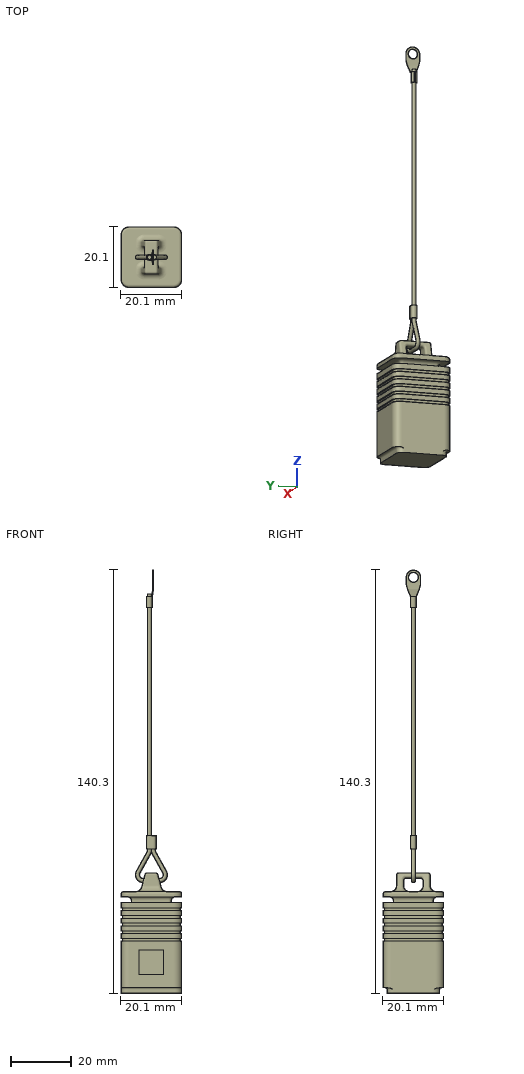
import cadquery as cq
import math

body_size = 20.1
body_corner_radius = 2.65
body_bottom_z = 1.9
body_top_z = 30.15

skirt_depth = 17.4
skirt_corner_radius = 2.15
skirt_root_fillet = 0.7

groove_count = 5
groove_pitch = 2.54
groove_width = 0.9
groove_depth = 0.45
lowest_groove_z = 17.75

label_size = 8.1
label_depth = 0.2
label_center_z = 10.35

neck_size = 13.3
neck_corner_radius = 0.9
neck_fillet = 1.3

flange_bottom_z = 32.0
flange_top_z = 33.78
flange_edge_fillet = 0.9

handle_length = 11.2
handle_top_z = 39.95
handle_top_half_width = 2.0
handle_base_half_width = 3.65
window_width = 6.4
window_top_z = 38.15
window_corner_radius = 0.8
handle_edge_fillet = 0.75
handle_foot_fillet = 1.9

rope_diameter = 1.4
rope_radius = rope_diameter / 2
strand_x = 0.65
rope_top_z = 132.4
sleeve_bottom_z = 47.95
sleeve_top_z = 52.3
crimp_wall = 0.3
crimp_diameter = rope_diameter + 2 * crimp_wall

loop_bottom_z = 37.4
loop_bottom_half = 2.7
loop_bend_radius = 1.9
loop_spread_angle = math.radians(29)
loop_throat_radius = 2.4

lug_top_z = 140.31
lug_head_radius = 2.4
lug_hole_diameter = 3.2
lug_thickness = crimp_wall
lug_plate_x = 0.4
lug_shoulder_z = 135.5
lug_bend_z = 133.9
lug_bend_half_width = 1.95
barrel_top_z = 131.6
barrel_bottom_z = 127.9
barrel_seam_width = 0.4


def square_block(size_x, size_y, corner_radius, bottom_z, top_z):
    """Upright rounded-corner block centred on the Z axis."""
    block = cq.Workplane("XY", origin=(0, 0, bottom_z)).rect(size_x, size_y)
    return block.extrude(top_z - bottom_z).edges("|Z").fillet(corner_radius)


def edges_at_height(height, size_x, size_y):
    """Selector for the edges at one height inside a centred size_x by size_y area."""
    margin = 0.1
    half_x = size_x / 2 + margin
    half_y = size_y / 2 + margin
    return cq.selectors.BoxSelector(
        (-half_x, -half_y, height - margin),
        (half_x, half_y, height + margin),
    )


def make_body():
    slab_size = 2 * body_size
    slab = square_block(slab_size, slab_size, body_corner_radius, body_bottom_z, body_top_z)
    skirt = square_block(body_size, skirt_depth, skirt_corner_radius, 0, body_bottom_z)
    root_edges = edges_at_height(body_bottom_z, body_size, skirt_depth)
    body = slab.union(skirt).edges(root_edges).fillet(skirt_root_fillet)
    body = body.intersect(square_block(body_size, body_size, body_corner_radius, 0, body_top_z))

    core_size = body_size - 2 * groove_depth
    core_radius = body_corner_radius - groove_depth
    for index in range(groove_count):
        bottom_z = lowest_groove_z + index * groove_pitch - groove_width / 2
        top_z = bottom_z + groove_width
        ring = square_block(slab_size, slab_size, body_corner_radius, bottom_z, top_z)
        core = square_block(core_size, core_size, core_radius, bottom_z, top_z)
        body = body.cut(ring.cut(core))

    label_center_y = -body_size / 2 + label_depth / 2
    label = cq.Workplane("XY").box(label_size, label_depth, label_size)
    return body.cut(label.translate((0, label_center_y, label_center_z)))


def make_flange():
    flange = square_block(body_size, body_size, body_corner_radius, flange_bottom_z, flange_top_z)
    flange = flange.faces(">Z").edges().fillet(flange_edge_fillet)
    neck = square_block(neck_size, neck_size, neck_corner_radius, body_top_z, flange_bottom_z)
    neck_edges = edges_at_height(flange_bottom_z, neck_size, neck_size)
    return flange.union(neck).edges(neck_edges).fillet(neck_fillet)


def make_handle():
    """Arch with two legs, its sides leaning inwards towards the top."""
    outline = [
        (-handle_base_half_width, flange_top_z),
        (handle_base_half_width, flange_top_z),
        (handle_top_half_width, handle_top_z),
        (-handle_top_half_width, handle_top_z),
    ]
    handle = cq.Workplane("XZ").polyline(outline).close().extrude(handle_length / 2, both=True)
    window = (
        cq.Workplane("XY")
        .box(2 * handle_base_half_width, window_width, 2 * (window_top_z - flange_top_z))
        .edges("|X").fillet(window_corner_radius)
        .translate((0, 0, flange_top_z))
    )
    handle = handle.cut(window)
    return handle.edges("(not <Z) and ((not |X) or >Z)").fillet(handle_edge_fillet)


def make_cap():
    cap = make_body().union(make_flange()).union(make_handle())
    foot_edges = edges_at_height(flange_top_z, 2 * handle_base_half_width, handle_length)
    return cap.edges(foot_edges).fillet(handle_foot_fillet)


def make_rope():
    """Straight cord above a crimp sleeve, with a loop below it that passes under the handle."""
    sine = math.sin(loop_spread_angle)
    cosine = math.cos(loop_spread_angle)
    bend_center_z = loop_bottom_z + loop_bend_radius

    slant_low_x = loop_bottom_half + loop_bend_radius * cosine
    slant_low_z = bend_center_z + loop_bend_radius * sine
    slant_high_x = strand_x + loop_throat_radius * (1 - cosine)
    slant_high_z = slant_low_z + (slant_low_x - slant_high_x) * cosine / sine
    throat_z = slant_high_z + loop_throat_radius * sine

    half_angle = loop_spread_angle / 2
    throat_mid_x = strand_x + loop_throat_radius * (1 - math.cos(half_angle))
    throat_mid_z = throat_z - loop_throat_radius * math.sin(half_angle)
    bend_mid_angle = math.pi / 4 - half_angle
    bend_mid_x = loop_bottom_half + loop_bend_radius * math.cos(bend_mid_angle)
    bend_mid_z = bend_center_z - loop_bend_radius * math.sin(bend_mid_angle)

    path = (
        cq.Workplane("XZ")
        .moveTo(0, loop_bottom_z)
        .lineTo(-loop_bottom_half, loop_bottom_z)
        .threePointArc((-bend_mid_x, bend_mid_z), (-slant_low_x, slant_low_z))
        .lineTo(-slant_high_x, slant_high_z)
        .threePointArc((-throat_mid_x, throat_mid_z), (-strand_x, throat_z))
        .lineTo(-strand_x, sleeve_bottom_z)
    )
    half_loop = cq.Workplane("YZ", origin=(0, 0, loop_bottom_z)).circle(rope_radius).sweep(path)
    loop = half_loop.union(half_loop.mirror("YZ"))

    cord = (
        cq.Workplane("XY", origin=(-strand_x, 0, sleeve_bottom_z))
        .circle(rope_radius)
        .extrude(rope_top_z - sleeve_bottom_z)
    )
    sleeve = (
        cq.Workplane("XY", origin=(0, 0, sleeve_bottom_z))
        .slot2D(2 * strand_x + crimp_diameter, crimp_diameter)
        .extrude(sleeve_top_z - sleeve_bottom_z)
    )
    return loop.union(sleeve).union(cord)


def make_lug():
    """Ring terminal: flat eye, offset neck and a rolled barrel round the cord."""
    eye_z = lug_top_z - lug_head_radius
    neck_half_width = crimp_diameter / 2
    far_x = lug_plate_x + lug_thickness
    face = (
        cq.Workplane("YZ")
        .moveTo(-neck_half_width, barrel_top_z)
        .lineTo(-lug_bend_half_width, lug_bend_z)
        .lineTo(-lug_head_radius, lug_shoulder_z)
        .lineTo(-lug_head_radius, eye_z)
        .threePointArc((0, lug_top_z), (lug_head_radius, eye_z))
        .lineTo(lug_head_radius, lug_shoulder_z)
        .lineTo(lug_bend_half_width, lug_bend_z)
        .lineTo(neck_half_width, barrel_top_z)
        .close()
        .extrude(far_x)
    )
    barrel_far_x = crimp_diameter / 2 - strand_x
    side_profile = [
        (barrel_far_x - lug_thickness, barrel_top_z),
        (barrel_far_x, barrel_top_z),
        (far_x, lug_bend_z),
        (far_x, lug_top_z),
        (lug_plate_x, lug_top_z),
        (lug_plate_x, lug_bend_z),
    ]
    sheet = cq.Workplane("XZ").polyline(side_profile).close().extrude(lug_head_radius, both=True)
    hole = cq.Workplane("YZ", origin=(0, 0, eye_z)).circle(lug_hole_diameter / 2).extrude(far_x)
    plate = face.intersect(sheet).cut(hole)

    barrel_length = barrel_top_z - barrel_bottom_z
    barrel = (
        cq.Workplane("XY", origin=(-strand_x, 0, barrel_bottom_z))
        .circle(crimp_diameter / 2)
        .circle(rope_radius)
        .extrude(barrel_length)
    )
    seam = (
        cq.Workplane("XY", origin=(-strand_x - crimp_diameter / 2, 0, barrel_bottom_z))
        .rect(crimp_diameter, barrel_seam_width)
        .extrude(barrel_length)
    )
    return plate.union(barrel.cut(seam))


cap = make_cap()
rope = make_rope()
lug = make_lug()

result = cq.Compound.makeCompound([cap.val(), rope.val(), lug.val()])